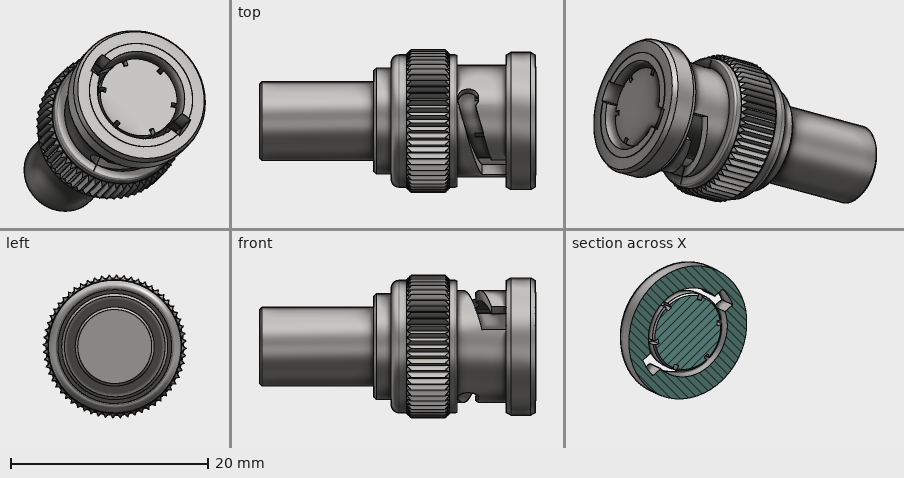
import cadquery as cq
import math

total_length = 28.0

shaft_radius = 4.0
shaft_chamfer = 0.25
collar_start = 11.55
collar_end = 17.35
collar_radius = 5.38
collar_chamfer = 0.28
sleeve_radius = 3.72
sleeve_end = 27.15
bump_start = 25.65
bump_radius = 4.05
slit_start = 21.85
slit_floor_radius = 3.5
slit_width = 0.45
slit_count = 6
first_slit_angle = -22.5

nut_start = 13.33
nut_body_radius = 6.72
nut_body_end = 20.02
nut_rear_fillet = 0.8
nut_front_fillet = 0.22
recess_radius = 5.77
recess_end = 14.85
barrel_radius = 5.68
nut_bore_radius = 4.62

ring_start = 24.98
ring_radius = 6.97
ring_chamfer_length = 0.5
ring_chamfer_depth = 0.28
lip_radius = 5.45
lip_length = 0.05

knurl_start = 14.9
knurl_end = 19.25
knurl_crest_radius = 7.25
knurl_root_radius = 6.75
knurl_chamfer = 0.48
tooth_count = 60
tooth_offset_angle = -1.5

slot_count = 2
ramp_rear_x = 20.65
ramp_width = 1.68
ramp_rise = 0.0263
detent_x = 21.15
detent_radius = 1.05
detent_angle = 24.0
entry_low_angle = -72.5
entry_high_angle = -44.1
channel_angle = -57.0

cutter_inner_radius = 2.8
cutter_outer_radius = 6.45
range_inner_radius = 2.52
twist_overrun_angle = 10.0


def polar(radius, angle):
    """Point (y, z) at an angle from +Z towards +Y."""
    return (radius * math.sin(math.radians(angle)), radius * math.cos(math.radians(angle)))


def disc(radius, start, end):
    return cq.Workplane("YZ", origin=(start, 0, 0)).circle(radius).extrude(end - start)


def sector(start, low_angle, high_angle, inner_radius, outer_radius):
    """Sketch of a ring sector in the cross-section plane at x = start."""
    middle = (low_angle + high_angle) / 2
    return (
        cq.Workplane("YZ", origin=(start, 0, 0))
        .moveTo(*polar(inner_radius, low_angle))
        .lineTo(*polar(outer_radius, low_angle))
        .threePointArc(polar(outer_radius, middle), polar(outer_radius, high_angle))
        .lineTo(*polar(inner_radius, high_angle))
        .threePointArc(polar(inner_radius, middle), polar(inner_radius, low_angle))
        .close()
    )


def make_core():
    shaft = disc(shaft_radius, 0, collar_end).faces("<X").chamfer(shaft_chamfer)
    collar = disc(collar_radius, collar_start, collar_end).faces("<X").chamfer(collar_chamfer)
    sleeve = disc(sleeve_radius, collar_end, sleeve_end)
    bump_cone_length = bump_radius - sleeve_radius
    bump = disc(bump_radius, bump_start, sleeve_end).faces("<X").chamfer(bump_cone_length)
    core = shaft.union(collar).union(sleeve).union(bump)
    slit_length = sleeve_end - slit_start
    slit_height = collar_radius - slit_floor_radius
    slit = (
        cq.Workplane("XY", origin=(slit_start, 0, slit_floor_radius))
        .box(slit_length, slit_width, slit_height, centered=(False, True, False))
    )
    for i in range(slit_count):
        turn = -(first_slit_angle + i * 360 / slit_count)
        core = core.cut(slit.rotate((0, 0, 0), (1, 0, 0), turn))
    return core


def make_knurl():
    points = []
    half_pitch = 180 / tooth_count
    for i in range(tooth_count):
        crest_angle = tooth_offset_angle + 2 * i * half_pitch
        points.append(polar(knurl_crest_radius, crest_angle))
        points.append(polar(knurl_root_radius, crest_angle + half_pitch))
    length = knurl_end - knurl_start
    teeth = cq.Workplane("YZ", origin=(knurl_start, 0, 0)).polyline(points).close().extrude(length)
    envelope = disc(knurl_crest_radius, knurl_start, knurl_end).faces("<X or >X").chamfer(knurl_chamfer)
    return teeth.intersect(envelope)


def make_ring():
    inner_x = total_length - lip_length
    edge_radius = ring_radius - ring_chamfer_depth
    profile = [
        (ring_start, 0),
        (ring_start, edge_radius),
        (ring_start + ring_chamfer_length, ring_radius),
        (inner_x - ring_chamfer_length, ring_radius),
        (inner_x, edge_radius),
        (inner_x, lip_radius),
        (total_length, lip_radius),
        (total_length, 0),
    ]
    return cq.Workplane("XY").polyline(profile).close().revolve(360, (0, 0, 0), (1, 0, 0))


def make_slot_cutters():
    start_angle = detent_angle + twist_overrun_angle
    end_angle = entry_low_angle - twist_overrun_angle
    twist_start = ramp_rear_x - ramp_rise * start_angle
    twist_end = ramp_rear_x + ramp_width - ramp_rise * end_angle
    twist_length = twist_end - twist_start
    ramp = sector(
        twist_start,
        start_angle,
        start_angle + ramp_width / ramp_rise,
        cutter_inner_radius,
        cutter_outer_radius,
    ).twistExtrude(twist_length, twist_length / ramp_rise)
    ramp_range = sector(twist_start, entry_low_angle, detent_angle, range_inner_radius, ring_radius)
    ramp = ramp.intersect(ramp_range.extrude(twist_length))

    entry_start = ramp_rear_x - ramp_rise * entry_low_angle
    entry = sector(entry_start, entry_low_angle, entry_high_angle, range_inner_radius, ring_radius)
    entry = entry.extrude(ring_start - entry_start)

    channel = (
        cq.Workplane("XY", origin=(ring_start, 0, 0))
        .box(total_length - ring_start, 2 * detent_radius, ring_radius, centered=(False, True, False))
        .rotate((0, 0, 0), (1, 0, 0), -channel_angle)
        .intersect(disc(barrel_radius, ring_start, total_length))
    )

    detent = cq.Workplane(
        cq.Solid.makeCylinder(
            detent_radius,
            cutter_outer_radius,
            pnt=cq.Vector(detent_x, 0, 0),
            dir=cq.Vector(0, *polar(1, detent_angle)),
        )
    )
    return ramp, entry, channel, detent


def make_nut():
    body = disc(nut_body_radius, nut_start, nut_body_end)
    body = body.faces("<X").edges().fillet(nut_rear_fillet)
    body = body.faces(">X").edges().fillet(nut_front_fillet)
    nut = body.union(make_knurl()).union(disc(barrel_radius, nut_body_end, ring_start)).union(make_ring())
    nut = nut.cut(disc(recess_radius, nut_start, recess_end))
    nut = nut.cut(disc(collar_radius, recess_end, collar_end))
    nut = nut.cut(disc(nut_bore_radius, collar_end, total_length))
    for i in range(slot_count):
        for cutter in make_slot_cutters():
            nut = nut.cut(cutter.rotate((0, 0, 0), (1, 0, 0), i * 360 / slot_count))
    return nut


core = make_core()
nut = make_nut()
result = cq.Compound.makeCompound([core.solids().val(), nut.solids().val()])